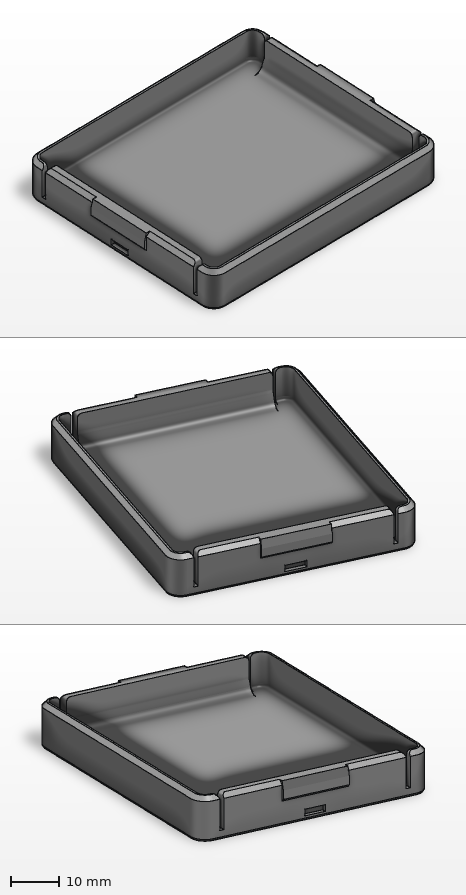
import cadquery as cq
import math

outer_length = 66.8
body_width = 56.3
height = 10.0
latch_projection = 0.55
body_length = outer_length - 2 * latch_projection
corner_radius = 3.5
wall = 1.5
floor = 2.0
rim_chamfer = 1.0
base_chamfer_height = 0.5
base_chamfer_inset = 0.29
floor_fillet = 1.0

flap_width = 44.35
flap_thickness = 2.505
slot_width = 1.0
flap_top_radius = 1.0
corner_top_radius = 1.0

gusset_depth = 1.2
gusset_height = 3.35
gusset_radius = 2.15

latch_width = 16.0
latch_bottom = 5.5
latch_full_bottom = latch_bottom + latch_projection
latch_full_top = 7.95

recess_width = 5.0
recess_bottom = 1.0
recess_height = 1.5
recess_depth = 1.0

end_face = body_length / 2
flap_inner_face = end_face - flap_thickness
slot_center = (flap_width + slot_width) / 2
slot_outer_side = slot_center + slot_width / 2


def at_both_ends(shape):
    """Return the shape at the -Y end together with its mirror at the +Y end."""
    return shape.union(shape.mirror("XZ"))


def end_profile(points, width):
    """Extrude a (Y, Z) outline along X, centred on the tray."""
    return cq.Workplane("YZ").polyline(points).close().extrude(width / 2, both=True)


def make_tray():
    outside = (
        cq.Workplane("XY")
        .rect(body_width, body_length)
        .extrude(height)
        .edges("|Z")
        .fillet(corner_radius)
        .faces(">Z")
        .chamfer(rim_chamfer)
        .faces("<Z")
        .chamfer(base_chamfer_height, base_chamfer_inset)
    )
    cavity = (
        cq.Workplane("XY")
        .workplane(offset=floor)
        .rect(body_width - 2 * wall, body_length - 2 * wall)
        .extrude(height)
        .edges("|Z")
        .fillet(corner_radius - wall)
        .faces("<Z")
        .edges()
        .fillet(floor_fillet)
    )
    return outside.cut(cavity)


def make_slot_gap():
    """Clear the whole flap span and its two slots down to the floor."""
    gap = (
        cq.Workplane("XY")
        .box(2 * slot_outer_side, flap_thickness, height, centered=(True, False, False))
        .translate((0, -end_face, floor))
    )
    return at_both_ends(gap)


def round_slot_corners(tray):
    """Round the rim where the corner walls stop at the slots."""
    for side in (-1, 1):
        edge_x = side * slot_outer_side
        corner = (
            cq.Workplane("XZ", origin=(edge_x, 0, height))
            .lineTo(side * corner_top_radius, 0)
            .radiusArc((0, -corner_top_radius), side * -corner_top_radius)
            .close()
            .extrude(body_length, both=True)
        )
        tray = tray.cut(corner)
    return tray


def make_flap():
    panel = (
        cq.Workplane("XY")
        .box(flap_width, flap_thickness, height - floor, centered=(True, False, False))
        .translate((0, -end_face, floor))
        .edges("|Y and >Z")
        .fillet(flap_top_radius)
    )
    bevel = end_profile(
        [
            (-end_face, height - rim_chamfer),
            (-end_face, height),
            (-end_face + rim_chamfer, height),
        ],
        flap_width,
    )
    return panel.cut(bevel)


def make_gusset():
    """Steep slope blended into both the flap and the floor by equal arcs."""
    slope_angle = math.atan2(gusset_height, gusset_depth)
    slope_y = math.cos(slope_angle)
    slope_z = math.sin(slope_angle)
    upper_tangent = gusset_radius * math.tan((math.pi / 2 - slope_angle) / 2)
    lower_tangent = gusset_radius * math.tan(slope_angle / 2)
    slope_top_z = floor + gusset_height
    slope_foot_y = flap_inner_face - gusset_depth
    wall_end = (-flap_inner_face, slope_top_z + upper_tangent)
    slope_start = (-flap_inner_face + upper_tangent * slope_y, slope_top_z - upper_tangent * slope_z)
    slope_end = (-slope_foot_y - lower_tangent * slope_y, floor + lower_tangent * slope_z)
    floor_end = (-slope_foot_y + lower_tangent, floor)
    return (
        cq.Workplane("YZ")
        .moveTo(-flap_inner_face, floor)
        .lineTo(*wall_end)
        .radiusArc(slope_start, -gusset_radius)
        .lineTo(*slope_end)
        .radiusArc(floor_end, -gusset_radius)
        .close()
        .extrude(flap_width / 2, both=True)
    )


def make_latch():
    return end_profile(
        [
            (-end_face, height),
            (-outer_length / 2, latch_full_top),
            (-outer_length / 2, latch_full_bottom),
            (-end_face, latch_bottom),
            (-end_face + rim_chamfer, latch_bottom),
            (-end_face + rim_chamfer, height),
        ],
        latch_width,
    )


def make_recess():
    return (
        cq.Workplane("XY")
        .box(recess_width, recess_depth, recess_height, centered=(True, False, False))
        .translate((0, -end_face, recess_bottom))
    )


tray = round_slot_corners(make_tray().cut(make_slot_gap()))
flap = make_flap().union(make_gusset()).union(make_latch())
result = tray.union(at_both_ends(flap)).cut(at_both_ends(make_recess()))